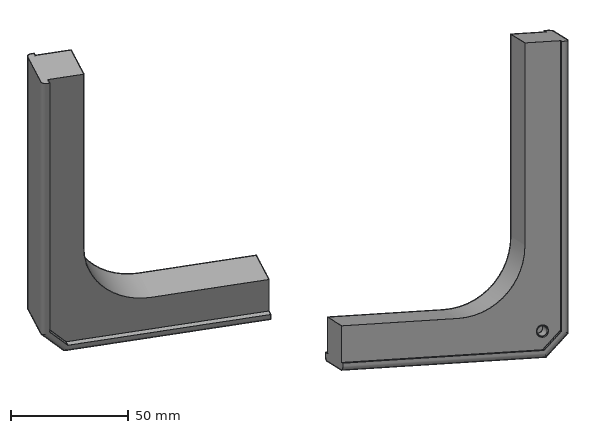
import cadquery as cq
import math

width = 24.6
depth = 101.6
height = 137.6

arm_thickness = 19.4
inner_radius = 30.0
corner_chamfer = 10.0

rim_thickness = 3.5
left_overhang = 1.7
right_overhang = 2.9
rim_fillet = 2.0

hole_diameter = 4.5
hole_mouth_diameter = 5.4
hole_depth = 6.9
hole_offset = 11.5


def l_profile(x_start, inset, thickness):
    """L outline in the YZ plane, with its outer side moved inward by inset."""
    chamfer = corner_chamfer - inset * (2 - math.sqrt(2))
    return (
        cq.Workplane("YZ", origin=(x_start, 0, 0))
        .moveTo(inset + chamfer, inset)
        .lineTo(depth, inset)
        .lineTo(depth, thickness)
        .lineTo(thickness, thickness)
        .lineTo(thickness, height)
        .lineTo(inset, height)
        .lineTo(inset, inset + chamfer)
        .close()
    )


def make_core():
    """Thick L with a large round in its inner corner."""
    core_width = width - left_overhang - right_overhang
    core = l_profile(left_overhang, 0, arm_thickness).extrude(core_width)
    inner_corner = cq.selectors.NearestToPointSelector((width / 2, arm_thickness, arm_thickness))
    return core.edges("|X").edges(inner_corner).fillet(inner_radius)


def make_rim():
    """Full-width strip along the outer side, with rounded outer edges."""
    strip = l_profile(0, 0, arm_thickness).extrude(width)
    inside = l_profile(0, rim_thickness, arm_thickness + rim_thickness).extrude(width)
    return strip.cut(inside)


def round_outer_edges(body):
    """Round the edges between the outer side and the two end faces."""
    half_chamfer = corner_chamfer / 2
    outer_midpoints = (
        (0, (corner_chamfer + height) / 2),
        (half_chamfer, half_chamfer),
        ((corner_chamfer + depth) / 2, 0),
    )
    found = []
    for x in (0, width):
        for y, z in outer_midpoints:
            nearest = cq.selectors.NearestToPointSelector((x, y, z))
            found.extend(body.edges(nearest).vals())
    return body.newObject(found).fillet(rim_fillet)


def make_hole():
    """Blind hole with a small countersink at its mouth."""
    mouth_depth = (hole_mouth_diameter - hole_diameter) / 2
    left_face = cq.Workplane("YZ", origin=(left_overhang, hole_offset, hole_offset))
    bore = left_face.circle(hole_diameter / 2).extrude(hole_depth)
    mouth = (
        left_face.circle(hole_mouth_diameter / 2)
        .workplane(offset=mouth_depth)
        .circle(hole_diameter / 2)
        .loft()
    )
    return bore.union(mouth)


bracket = make_core().union(make_rim())
result = round_outer_edges(bracket).cut(make_hole())